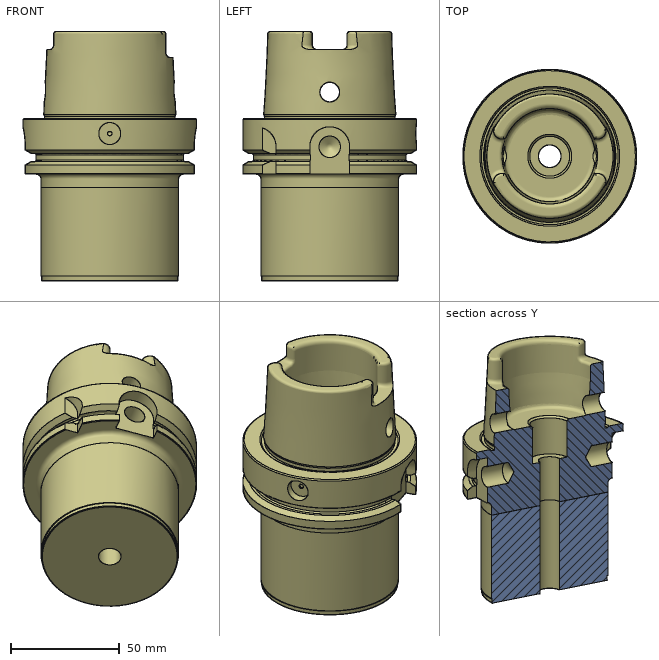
import cadquery as cq
import math


total_height = 114.9
flange_bottom = 49.2
flange_top = 74.9
joint_height = 43.0

shank_radius = 31.7
pilot_radius = 31.4
pilot_height = 2.3
pilot_chamfer = 0.3
coolant_radius = 5.2

flange_radius = 40.0
flange_top_chamfer = 0.6
flange_bottom_chamfer = 0.3
shank_fillet = 2.2
groove_middle = 56.9
groove_root_radius = 35.2
groove_ledge_radius = 37.2
groove_ledge_half_width = 1.8
groove_mouth_half_width = 3.5
groove_root_fillet = 0.7

relief_outer_radius = 32.2
relief_depth = 0.7
neck_radius = 30.1
taper_start = flange_top + 1.8
neck_top = flange_top + 0.9

taper_base_radius = 30.5
taper_slope = 1 / 20
rim_fillet = 1.4
taper_top_radius = taper_base_radius - taper_slope * (total_height - taper_start)

bore_radius = 22.0
bore_cone_top = 99.0
bore_foot_radius = 20.9
bore_mouth_fillet = 2.2
bore_floor = 82.3
bore_floor_fillet = 2.1
thread_radius = 9.2
thread_chamfer = 0.9
thread_depth = 18.4

slot_half_width = 7.9
slot_shoulder_x = 25.9
slot_corner_radius = 3.8
slot_floor_fillet = 2.0
deep_slot_floor = 103.0
shallow_slot_floor = 106.6

cross_hole_height = 87.0
cross_hole_radius = 4.5

keyway_half_width = 9.2
keyway_centre_height = 61.8
keyway_floor_x = 34.0
keyway_hole_radius = 4.9
keyway_hole_depth = 11.5

notch_centre_y = 33.9
notch_floor_x = 25.3

carrier_height = 67.9
carrier_radius = 5.0
carrier_depth = 4.5
carrier_point_radius = 1.0
carrier_point_depth = 0.9

drill_point_angle = 118.0

fillet_mid = 1 - math.sqrt(0.5)


def drill(radius, depth):
    """Drill shape with a conical point: entry at the origin, running along +Z."""
    point_length = radius / math.tan(math.radians(drill_point_angle / 2))
    return (
        cq.Workplane("XZ")
        .moveTo(0, 0)
        .lineTo(radius, 0)
        .lineTo(radius, depth)
        .lineTo(0, depth + point_length)
        .close()
        .revolve(360, (0, 0, 0), (0, 1, 0))
    )


def turned_blank():
    return (
        cq.Workplane("XZ")
        .moveTo(coolant_radius, 0)
        .lineTo(pilot_radius - pilot_chamfer, 0)
        .lineTo(pilot_radius, pilot_chamfer)
        .lineTo(pilot_radius, pilot_height)
        .lineTo(shank_radius, pilot_height)
        .lineTo(shank_radius, joint_height)
        .lineTo(coolant_radius, joint_height)
        .close()
        .revolve(360, (0, 0, 0), (0, 1, 0))
    )


def turned_adapter():
    """Flange and taper with the stepped hollow, before any milling."""
    thread_bottom = bore_floor - thread_depth
    return (
        cq.Workplane("XZ")
        .moveTo(coolant_radius, joint_height)
        .lineTo(shank_radius, joint_height)
        .lineTo(shank_radius, flange_bottom - shank_fillet)
        .threePointArc(
            (shank_radius + fillet_mid * shank_fillet, flange_bottom - fillet_mid * shank_fillet),
            (shank_radius + shank_fillet, flange_bottom),
        )
        .lineTo(flange_radius - flange_bottom_chamfer, flange_bottom)
        .lineTo(flange_radius, flange_bottom + flange_bottom_chamfer)
        .lineTo(flange_radius, flange_top - flange_top_chamfer)
        .lineTo(flange_radius - flange_top_chamfer, flange_top)
        .lineTo(relief_outer_radius, flange_top)
        .lineTo(relief_outer_radius - relief_depth, flange_top - relief_depth)
        .lineTo(neck_radius, flange_top - relief_depth)
        .lineTo(neck_radius, neck_top)
        .lineTo(taper_base_radius, taper_start)
        .lineTo(taper_top_radius, total_height)
        .lineTo(bore_radius + bore_mouth_fillet, total_height)
        .threePointArc(
            (bore_radius + fillet_mid * bore_mouth_fillet, total_height - fillet_mid * bore_mouth_fillet),
            (bore_radius, total_height - bore_mouth_fillet),
        )
        .lineTo(bore_radius, bore_cone_top)
        .lineTo(bore_foot_radius, bore_floor + bore_floor_fillet)
        .threePointArc(
            (bore_foot_radius - fillet_mid * bore_floor_fillet, bore_floor + fillet_mid * bore_floor_fillet),
            (bore_foot_radius - bore_floor_fillet, bore_floor),
        )
        .lineTo(thread_radius + thread_chamfer, bore_floor)
        .lineTo(thread_radius, bore_floor - thread_chamfer)
        .lineTo(thread_radius, thread_bottom)
        .lineTo(coolant_radius, thread_bottom)
        .close()
        .revolve(360, (0, 0, 0), (0, 1, 0))
    )


def gripper_groove():
    """Ring cutter for the stepped V groove around the flange."""
    root = groove_root_radius
    ledge_low = groove_middle - groove_ledge_half_width
    ledge_high = groove_middle + groove_ledge_half_width
    return (
        cq.Workplane("XZ")
        .moveTo(flange_radius, groove_middle - groove_mouth_half_width)
        .lineTo(groove_ledge_radius, ledge_low)
        .lineTo(root + groove_root_fillet, ledge_low)
        .radiusArc((root, ledge_low + groove_root_fillet), groove_root_fillet)
        .lineTo(root, ledge_high - groove_root_fillet)
        .radiusArc((root + groove_root_fillet, ledge_high), groove_root_fillet)
        .lineTo(groove_ledge_radius, ledge_high)
        .lineTo(flange_radius, groove_middle + groove_mouth_half_width)
        .close()
        .revolve(360, (0, 0, 0), (0, 1, 0))
    )


def drive_slot(floor_height):
    """Cutter for the drive slot on the +X side: a straight slot flaring onto flat shoulders."""
    start_x = bore_radius / 2
    end_x = 1.5 * taper_base_radius
    corner_x = slot_shoulder_x - slot_corner_radius
    corner_y = slot_half_width + slot_corner_radius
    side_y = taper_base_radius
    margin = 1.1
    wall_foot = cq.selectors.BoxSelector(
        (start_x + margin, -side_y + margin, floor_height - margin),
        (slot_shoulder_x + margin, side_y - margin, floor_height + margin),
    )
    return (
        cq.Workplane("XY", origin=(0, 0, floor_height))
        .moveTo(start_x, -slot_half_width)
        .lineTo(corner_x, -slot_half_width)
        .radiusArc((slot_shoulder_x, -corner_y), slot_corner_radius)
        .lineTo(slot_shoulder_x, -side_y)
        .lineTo(end_x, -side_y)
        .lineTo(end_x, side_y)
        .lineTo(slot_shoulder_x, side_y)
        .lineTo(slot_shoulder_x, corner_y)
        .radiusArc((corner_x, slot_half_width), slot_corner_radius)
        .lineTo(start_x, slot_half_width)
        .close()
        .extrude(total_height)
        .faces("<Z")
        .edges(wall_foot)
        .fillet(slot_floor_fillet)
    )


def keyway(centre_y, floor_x):
    """Round-topped cutter open to the -X side and downwards."""
    return (
        cq.Workplane("YZ", origin=(-floor_x, centre_y, keyway_centre_height))
        .moveTo(-keyway_half_width, 0)
        .threePointArc((0, keyway_half_width), (keyway_half_width, 0))
        .lineTo(keyway_half_width, flange_bottom - keyway_centre_height)
        .lineTo(-keyway_half_width, flange_bottom - keyway_centre_height)
        .close()
        .extrude(-flange_radius)
    )


def milled_adapter():
    body = turned_adapter().cut(gripper_groove())

    body = body.cut(drive_slot(deep_slot_floor))
    body = body.cut(drive_slot(shallow_slot_floor).rotate((0, 0, 0), (0, 0, 1), 180))

    mouth_radius = bore_radius + bore_mouth_fillet
    rim = body.faces(">Z").edges().filter(
        lambda edge: edge.geomType() != "CIRCLE" or abs(edge.radius() - mouth_radius) > 0.1
    )
    body = rim.fillet(rim_fillet)

    cross_hole = (
        cq.Workplane("YZ", origin=(0, 0, cross_hole_height))
        .circle(cross_hole_radius)
        .extrude(2 * taper_base_radius, both=True)
    )
    body = body.cut(cross_hole)

    key_cut = keyway(0, keyway_floor_x).union(
        drill(keyway_hole_radius, keyway_hole_depth)
        .rotate((0, 0, 0), (0, 1, 0), 90)
        .translate((-keyway_floor_x, 0, keyway_centre_height))
    )
    for angle in (0, 180):
        body = body.cut(key_cut.rotate((0, 0, 0), (0, 0, 1), angle))

    body = body.cut(keyway(notch_centre_y, notch_floor_x))

    carrier_floor_y = -(flange_radius - carrier_depth)
    carrier = (
        cq.Workplane("XZ", origin=(0, carrier_floor_y, carrier_height))
        .circle(carrier_radius)
        .extrude(flange_radius)
    )
    carrier_point = (
        drill(carrier_point_radius, carrier_point_depth)
        .rotate((0, 0, 0), (1, 0, 0), -90)
        .translate((0, carrier_floor_y, carrier_height))
    )
    return body.cut(carrier).cut(carrier_point)


blank = turned_blank()
adapter = milled_adapter()

result = cq.Compound.makeCompound([blank.val(), adapter.val()])